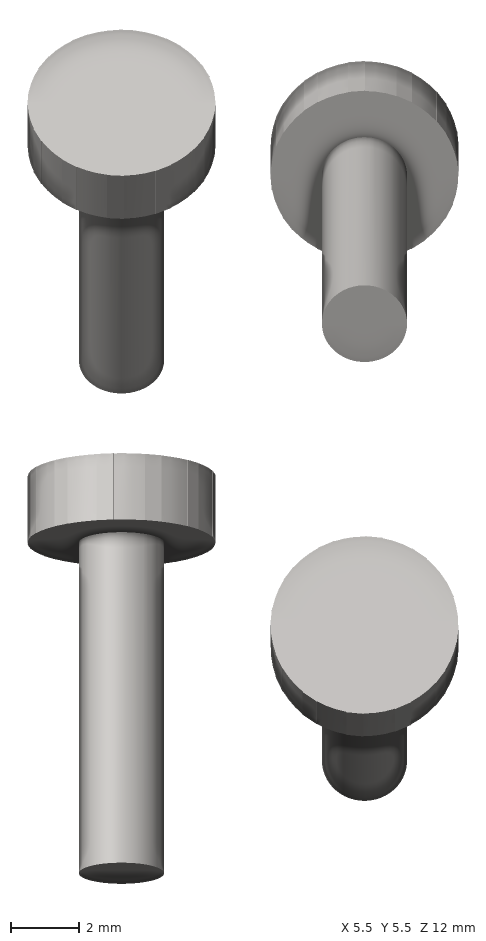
import cadquery as cq

total_length = 12.0
head_diameter = 5.5
head_height = 2.0
shank_diameter = 2.5
shank_length = total_length - head_height

bar_count = 6
bar_width = 0.5
bar_spacing_angle = 180.0 / bar_count


def make_shank():
    """Plain round shank hanging below the underside of the head."""
    return cq.Workplane("XY").circle(shank_diameter / 2).extrude(-shank_length)


def make_head():
    """Round head crossed by bars as long as its diameter, giving two shallow flats per bar."""
    head = cq.Workplane("XY").circle(head_diameter / 2).extrude(head_height)
    bar = cq.Workplane("XY").rect(head_diameter, bar_width).extrude(head_height)
    for index in range(bar_count):
        turned_bar = bar.rotate((0, 0, 0), (0, 0, 1), index * bar_spacing_angle)
        head = head.union(turned_bar, clean=False)
    return head


result = make_head().union(make_shank(), clean=False)